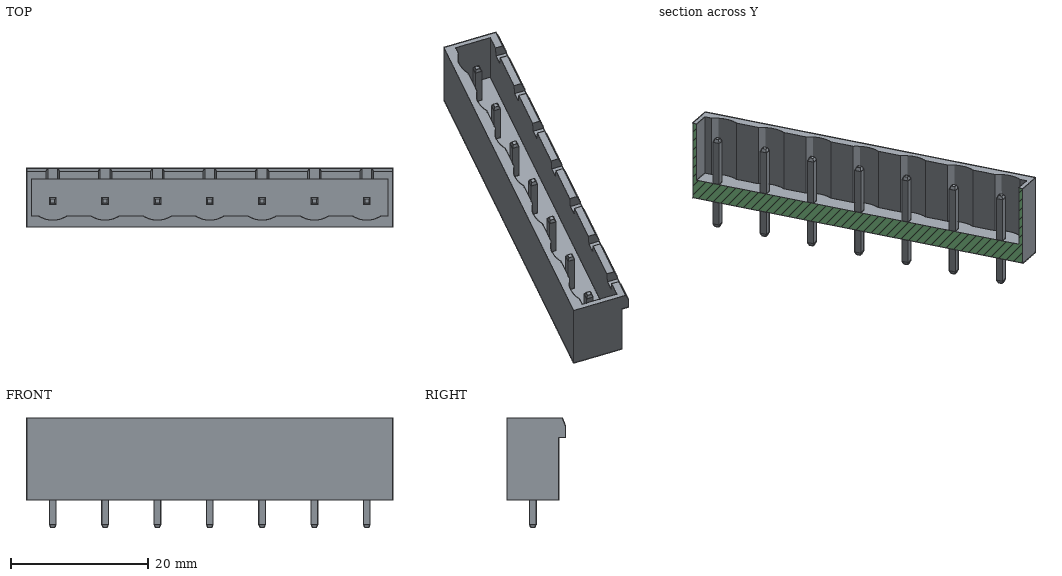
import cadquery as cq

pin_count = 7
pitch = 7.65
pin_width = 1.0
pin_y = 3.8
pin_below = 4.0
pin_tip_inset = 0.2
pin_tip_length = 0.5
pin_top_gap = 2.0

length = 53.35
body_depth = 7.6
overall_height = 16.0
body_height = overall_height - pin_below

overall_depth = 8.6
lip_height = 2.9
lip_slope_depth = 0.5
lip_slope_height = 1.25

end_wall = 0.7
front_wall = 1.6
pocket_back_y = 7.0
floor_thickness = 3.0
scallop_half_width = 2.05
scallop_depth = 0.6

notch_top_width = 2.0
notch_floor_width = 1.45
notch_depth = 1.5

first_pin_x = -pitch * (pin_count - 1) / 2
pin_positions = [first_pin_x + i * pitch for i in range(pin_count)]


def make_housing():
    """Side profile with the overhanging lip, extruded along the row."""
    profile = [
        (0, 0),
        (0, -body_height),
        (body_depth, -body_height),
        (body_depth, -lip_height),
        (overall_depth, -lip_height),
        (overall_depth, -lip_slope_height),
        (overall_depth - lip_slope_depth, 0),
    ]
    return cq.Workplane("YZ").polyline(profile).close().extrude(length / 2, both=True)


def make_pocket():
    """Open-topped cavity whose front side bulges out in an arc at each pin."""
    half_length = length / 2 - end_wall
    outline = cq.Workplane("XY").moveTo(-half_length, pocket_back_y).lineTo(-half_length, front_wall)
    for x in pin_positions:
        outline = outline.lineTo(x - scallop_half_width, front_wall).threePointArc(
            (x, front_wall - scallop_depth), (x + scallop_half_width, front_wall)
        )
    outline = outline.lineTo(half_length, front_wall).lineTo(half_length, pocket_back_y).close()
    return outline.extrude(floor_thickness - body_height)


def make_notch(x):
    """Notch with sloped sides, cut backwards from inside the pocket through the lip."""
    outline = [
        (x - notch_top_width / 2, 0),
        (x - notch_floor_width / 2, -notch_depth),
        (x + notch_floor_width / 2, -notch_depth),
        (x + notch_top_width / 2, 0),
    ]
    notch = cq.Workplane("XZ").polyline(outline).close().extrude(pin_y - overall_depth)
    return notch.translate((0, pin_y, 0))


def make_pin(x):
    """Square pin through the pocket floor, tapered at both ends."""
    bottom = -overall_height
    half = pin_width / 2
    tip_half = half - pin_tip_inset
    profile = [
        (-tip_half, bottom),
        (-half, bottom + pin_tip_length),
        (-half, -pin_top_gap - pin_tip_length),
        (-tip_half, -pin_top_gap),
        (tip_half, -pin_top_gap),
        (half, -pin_top_gap - pin_tip_length),
        (half, bottom + pin_tip_length),
        (tip_half, bottom),
    ]
    tapered_in_x = cq.Workplane("XZ").polyline(profile).close().extrude(half, both=True)
    tapered_in_y = cq.Workplane("YZ").polyline(profile).close().extrude(half, both=True)
    return tapered_in_x.intersect(tapered_in_y).translate((x, pin_y, 0))


result = make_housing().cut(make_pocket())
for x in pin_positions:
    result = result.cut(make_notch(x)).union(make_pin(x))